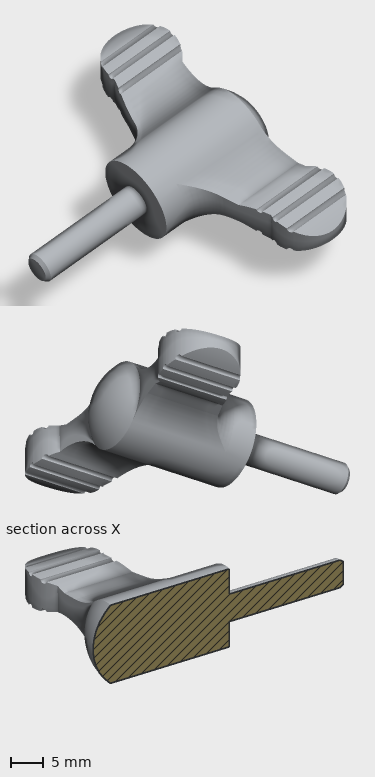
import math

import cadquery as cq

hub_radius = 7.0
hub_length = 20.9
dome_height = 3.1
stud_radius = 2.5
stud_length = 20.0
stud_chamfer_length = 0.6
stud_chamfer_depth = 0.5

overall_height = hub_length + dome_height
wing_reach = 25.0
pad_radius = 6.25
pad_x = wing_reach - pad_radius
pad_y = overall_height - pad_radius

root_fillet_radius = 5.0
root_start_y = 4.05
lower_flank_angle = math.radians(20)
lower_flank_reach = 20.0
upper_flank_angle = math.radians(8)
upper_flank_reach = 16.0

blend_radius = 9.0
upper_blend_angle = math.radians(47.8)
upper_blend_end_x = 9.85
upper_valley_x = 12.56
lower_blend_angle = math.radians(-40)
crown_radius = 13.8
upper_crown_x = 17.67
upper_crown_z = 3.67
lower_crown_x = 18.74
section_end_x = wing_reach + 0.5

groove_radius = 0.5
groove_pitch = 2.8
groove_offsets = (-groove_pitch, 0, groove_pitch)


def polar(radius, angle):
    return (radius * math.cos(angle), radius * math.sin(angle))


def point_on_circle(center, radius, x, side):
    """Point at x on the upper (side = 1) or lower (side = -1) half of a circle."""
    return (x, center[1] + side * math.sqrt(radius**2 - (x - center[0]) ** 2))


upper_crown_center = (upper_crown_x, upper_crown_z - crown_radius)

lower_blend_center = polar(hub_radius + blend_radius, lower_blend_angle)
lower_center_distance = blend_radius + crown_radius
lower_crown_center = point_on_circle(lower_blend_center, lower_center_distance, lower_crown_x, 1)
lower_joint_x = lower_blend_center[0] + (
    (lower_crown_x - lower_blend_center[0]) * blend_radius / lower_center_distance
)


def upper_crown_point(x):
    return point_on_circle(upper_crown_center, crown_radius, x, 1)


def lower_crown_point(x):
    return point_on_circle(lower_crown_center, crown_radius, x, -1)


def make_hub_and_stud():
    stud_tip_radius = stud_radius - stud_chamfer_depth
    dome_radius = (hub_radius**2 + dome_height**2) / (2 * dome_height)
    dome_center_y = overall_height - dome_radius
    dome_mid_x = hub_radius / 2
    dome_mid = point_on_circle((0, dome_center_y), dome_radius, dome_mid_x, 1)
    return (
        cq.Workplane("XY")
        .moveTo(0, -stud_length)
        .lineTo(stud_tip_radius, -stud_length)
        .lineTo(stud_radius, -stud_length + stud_chamfer_length)
        .lineTo(stud_radius, 0)
        .lineTo(hub_radius, 0)
        .lineTo(hub_radius, hub_length)
        .threePointArc(dome_mid, (0, overall_height))
        .close()
        .revolve(360, (0, 0, 0), (0, 1, 0))
    )


def make_wing_section():
    """Wing cross-section, carried along the full height of the knob."""
    upper_blend_center = polar(hub_radius + blend_radius, upper_blend_angle)
    upper_start = polar(hub_radius, upper_blend_angle)
    lower_start = polar(hub_radius, lower_blend_angle)
    upper_blend_mid_x = (upper_start[0] + upper_blend_end_x) / 2
    upper_blend_mid = point_on_circle(upper_blend_center, blend_radius, upper_blend_mid_x, -1)
    upper_blend_end = point_on_circle(upper_blend_center, blend_radius, upper_blend_end_x, -1)
    lower_joint = point_on_circle(lower_blend_center, blend_radius, lower_joint_x, 1)
    lower_blend_mid_x = (lower_start[0] + lower_joint[0]) / 2
    lower_blend_mid = point_on_circle(lower_blend_center, blend_radius, lower_blend_mid_x, 1)
    return (
        cq.Workplane("XZ")
        .moveTo(0, 0)
        .lineTo(*upper_start)
        .threePointArc(upper_blend_mid, upper_blend_end)
        .lineTo(*upper_crown_point(upper_valley_x))
        .threePointArc(upper_crown_point(upper_crown_x), upper_crown_point(section_end_x))
        .lineTo(*lower_crown_point(section_end_x))
        .threePointArc(lower_crown_point(lower_crown_x), lower_joint)
        .threePointArc(lower_blend_mid, lower_start)
        .close()
        .extrude(-overall_height)
    )


def make_wing_envelope():
    """Turned arm flanks joined to the round pad."""
    fillet_center = (hub_radius + root_fillet_radius, root_start_y)

    def fillet_point(angle):
        dx, dy = polar(root_fillet_radius, angle)
        return (fillet_center[0] + dx, fillet_center[1] + dy)

    fillet_end_angle = math.pi / 2 + lower_flank_angle
    fillet_end = fillet_point(fillet_end_angle)
    fillet_mid = fillet_point((math.pi + fillet_end_angle) / 2)
    lower_rise = (lower_flank_reach - fillet_end[0]) * math.tan(lower_flank_angle)
    upper_rise = (upper_flank_reach - hub_radius) * math.tan(upper_flank_angle)
    arm = (
        cq.Workplane("XY")
        .moveTo(0, root_start_y)
        .lineTo(hub_radius, root_start_y)
        .threePointArc(fillet_mid, fillet_end)
        .lineTo(lower_flank_reach, fillet_end[1] + lower_rise)
        .lineTo(upper_flank_reach, hub_length + upper_rise)
        .lineTo(hub_radius, hub_length)
        .lineTo(0, hub_length)
        .close()
        .revolve(360, (0, 0, 0), (0, 1, 0))
    )
    pad = cq.Workplane("XY").center(pad_x, pad_y).circle(pad_radius).extrude(hub_radius, both=True)
    return arm.union(pad)


def make_grooves():
    centers = []
    for offset in groove_offsets:
        centers.append(upper_crown_point(pad_x + offset))
        centers.append(lower_crown_point(pad_x + offset))
    return cq.Workplane("XZ").pushPoints(centers).circle(groove_radius).extrude(-overall_height)


right_wing = make_wing_section().intersect(make_wing_envelope()).cut(make_grooves())
left_wing = right_wing.rotate((0, 0, 0), (0, 1, 0), 180)
result = make_hub_and_stud().union(right_wing).union(left_wing)